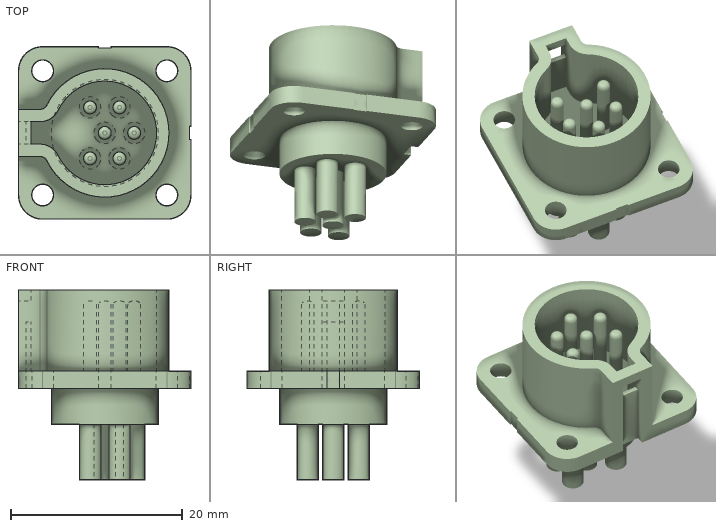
import cadquery as cq
import math

tail_length = 6.48
collar_height = 4.17
plate_thickness = 2.06
total_height = 22.2
collar_bottom = tail_length
plate_bottom = collar_bottom + collar_height
plate_top = plate_bottom + plate_thickness
shell_height = total_height - plate_top

plate_side = 20.18
hole_spacing = 14.52
hole_diameter = 2.5
corner_radius = (plate_side - hole_spacing) / 2
notch_width = 1.5
notch_depth = 0.15

collar_radius = 6.25
shell_radius = 7.5
wall = 1.45
keyway_half_width = 1.3
neck_fillet = 0.9
keyway_end = plate_side / 2

slot_depth = 0.9
lintel_height = 1.27
window_height = 2.46

contact_circle_radius = 3.45
contact_angles = (-120, -60, 0, 60, 120)
pin_diameter = 1.5
pin_tip_rounding = 0.5
pin_recess = 1.3
tail_diameter = 2.5


def keyhole(radius, half_width, end, fillet, bottom, height):
    """Prism of a circle joined to a -X keyway by a concave fillet on each side."""
    center_y = half_width + fillet
    center_distance = radius + fillet
    center_x = -math.sqrt(center_distance**2 - center_y**2)
    tangent_x = center_x * radius / center_distance
    tangent_y = center_y * radius / center_distance
    toward_circle = math.atan2(-center_y, -center_x)
    middle_angle = (toward_circle - math.pi / 2) / 2
    middle_x = center_x + fillet * math.cos(middle_angle)
    middle_y = center_y + fillet * math.sin(middle_angle)
    return (
        cq.Workplane("XY")
        .workplane(offset=bottom)
        .moveTo(-end, half_width)
        .lineTo(center_x, half_width)
        .threePointArc((middle_x, middle_y), (tangent_x, tangent_y))
        .threePointArc((radius, 0), (tangent_x, -tangent_y))
        .threePointArc((middle_x, -middle_y), (center_x, -half_width))
        .lineTo(-end, -half_width)
        .close()
        .extrude(height)
    )


def make_plate():
    plate = (
        cq.Workplane("XY")
        .workplane(offset=plate_bottom)
        .rect(plate_side, plate_side)
        .extrude(plate_thickness)
        .edges("|Z")
        .fillet(corner_radius)
        .faces(">Z")
        .workplane()
        .rect(hole_spacing, hole_spacing, forConstruction=True)
        .vertices()
        .hole(hole_diameter)
    )
    notch = (
        cq.Workplane("XY")
        .workplane(offset=plate_bottom)
        .center(plate_side / 2, 0)
        .rect(2 * notch_depth, notch_width)
        .extrude(plate_thickness)
    )
    for angle in (0, 90):
        plate = plate.cut(notch.rotate((0, 0, 0), (0, 0, 1), angle))
    return plate


def make_shell():
    outside = keyhole(
        shell_radius,
        keyway_half_width + wall,
        keyway_end,
        neck_fillet,
        plate_top,
        shell_height,
    )
    cavity = keyhole(
        shell_radius - wall,
        keyway_half_width,
        keyway_end - wall,
        neck_fillet + wall,
        plate_top,
        shell_height,
    )
    return outside.cut(cavity)


def slot_block(depth, bottom, top):
    """Block as wide as the keyway, reaching inwards from its outer face."""
    return cq.Workplane("XY").box(
        depth, 2 * keyway_half_width, top - bottom, centered=(False, True, False)
    ).translate((-keyway_end, 0, bottom))


def make_contact(x, y):
    pin_top = total_height - pin_recess
    pin = (
        cq.Workplane("XY")
        .workplane(offset=collar_bottom)
        .circle(pin_diameter / 2)
        .extrude(pin_top - collar_bottom)
        .faces(">Z")
        .edges()
        .fillet(pin_tip_rounding)
    )
    tail = cq.Workplane("XY").circle(tail_diameter / 2).extrude(collar_bottom)
    return pin.union(tail).translate((x, y, 0))


collar = cq.Workplane("XY").workplane(offset=collar_bottom).circle(collar_radius).extrude(collar_height)
result = make_plate().union(make_shell()).union(collar)

slot_top = total_height - lintel_height
result = result.cut(slot_block(slot_depth, plate_bottom, slot_top))
result = result.cut(slot_block(wall, slot_top - window_height, slot_top))

contact_places = [(0, 0)]
for angle in contact_angles:
    direction = math.radians(angle)
    x = contact_circle_radius * math.cos(direction)
    y = contact_circle_radius * math.sin(direction)
    contact_places.append((x, y))
for x, y in contact_places:
    result = result.union(make_contact(x, y))